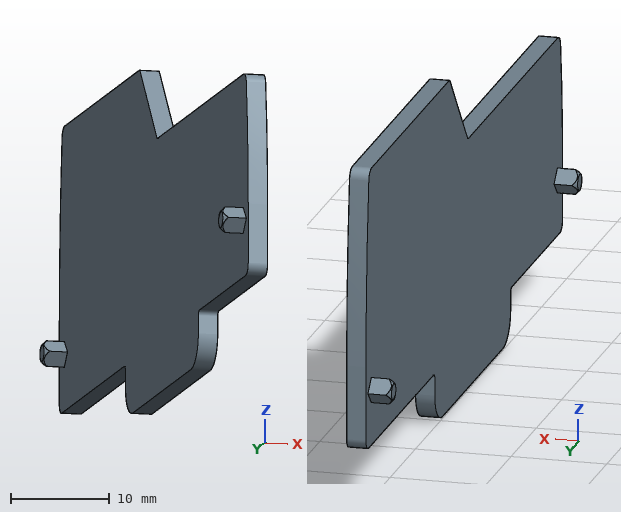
import cadquery as cq
import math

length = 78.0
height = 34.8
thickness = 2.0
half_length = length / 2

low_top_z = 26.35
slope_top_y = 5.8
slope_bottom_y = -1.4

high_end_radius = 168.4
high_end_tangent_z = 14.35
low_end_radius = 101.35
low_end_tangent_z = 12.6

tab_depth = 5.45
tab_high_y = 11.7
tab_low_y = -18.4

top_corner_radius = 1.2
slope_top_radius = 0.5
slope_bottom_radius = 0.5
bottom_corner_radius = 1.1
tab_root_radius = 0.5
tab_corner_radius = 3.1

peg_length = 2.35
peg_diagonal = 2.65
peg_tip_radius = 0.85
peg_offset_y = 36.9
peg_z = 11.3


def bow_inset(radius, rise):
    """Inward drift of a bowed end at a given rise above its tangent point."""
    return radius - math.sqrt(radius**2 - rise**2)


def bow_points(side, radius, tangent_z, top_z):
    """Middle and top points of the bowed end on the given Y side."""
    rise = top_z - tangent_z
    middle = (side * (half_length - bow_inset(radius, rise / 2)), tangent_z + rise / 2)
    top = (side * (half_length - bow_inset(radius, rise)), top_z)
    return middle, top


high_middle, high_top = bow_points(1, high_end_radius, high_end_tangent_z, height)
low_middle, low_top = bow_points(-1, low_end_radius, low_end_tangent_z, low_top_z)


def make_plate():
    plate = (
        cq.Workplane("YZ")
        .moveTo(half_length, tab_depth)
        .lineTo(half_length, high_end_tangent_z)
        .threePointArc(high_middle, high_top)
        .lineTo(slope_top_y, height)
        .lineTo(slope_bottom_y, low_top_z)
        .lineTo(*low_top)
        .threePointArc(low_middle, (-half_length, low_end_tangent_z))
        .lineTo(-half_length, tab_depth)
        .lineTo(tab_low_y, tab_depth)
        .lineTo(tab_low_y, 0)
        .lineTo(tab_high_y, 0)
        .lineTo(tab_high_y, tab_depth)
        .close()
        .extrude(thickness)
    )
    corner_groups = [
        (top_corner_radius, [high_top, low_top]),
        (slope_top_radius, [(slope_top_y, height)]),
        (slope_bottom_radius, [(slope_bottom_y, low_top_z)]),
        (bottom_corner_radius, [(half_length, tab_depth), (-half_length, tab_depth)]),
        (tab_root_radius, [(tab_high_y, tab_depth), (tab_low_y, tab_depth)]),
        (tab_corner_radius, [(tab_high_y, 0), (tab_low_y, 0)]),
    ]
    for radius, corners in corner_groups:
        for y, z in corners:
            corner_edge = cq.NearestToPointSelector((thickness / 2, y, z))
            plate = plate.edges("|X").edges(corner_edge).fillet(radius)
    return plate


def make_peg(y):
    corner_radius = peg_diagonal / 2
    tip_chamfer = corner_radius - peg_tip_radius
    square = cq.Workplane("YZ").polygon(4, peg_diagonal).extrude(-peg_length)
    envelope = (
        cq.Workplane("YZ")
        .circle(corner_radius)
        .extrude(-peg_length)
        .faces("<X")
        .chamfer(tip_chamfer)
    )
    return square.intersect(envelope).translate((0, y, peg_z))


result = make_plate()
for peg_y in (peg_offset_y, -peg_offset_y):
    result = result.union(make_peg(peg_y))